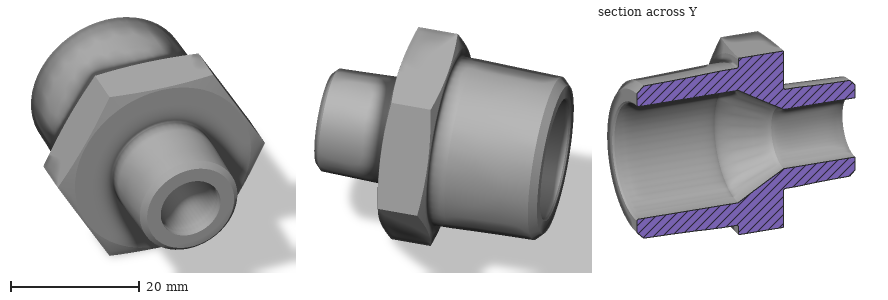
import cadquery as cq
import math

total_length = 37.0
hex_start = 17.2
hex_end = 24.95

across_flats = 30.0
hex_chamfer_diameter = 29.45
hex_chamfer_angle = math.radians(15)

taper_ratio = 1 / 16
large_diameter = 26.75
large_straight_length = 2.7
large_chamfer = 1.2
small_diameter = 16.9
small_straight_length = 2.0
small_chamfer = 0.9
root_fillet = 0.3

wide_bore_diameter = 19.0
narrow_bore_diameter = 10.0
bore_mouth_chamfer = 0.25


def revolve_about_x(profile):
    """Turn a closed (x, radius) profile into a solid of revolution about X."""
    return profile.close().revolve(360, (0, 0, 0), (1, 0, 0))


def make_hexagon():
    """Hexagon with corners on +Y and -Y, its corners coned off on both faces."""
    corner_diameter = across_flats / math.cos(math.pi / 6)
    face_radius = hex_chamfer_diameter / 2
    corner_radius = corner_diameter / 2
    corner_drop = (corner_radius - face_radius) * math.tan(hex_chamfer_angle)
    prism = (
        cq.Workplane("YZ", origin=(hex_start, 0, 0))
        .polygon(6, corner_diameter)
        .extrude(hex_end - hex_start)
    )
    cone_envelope = revolve_about_x(
        cq.Workplane("XY")
        .moveTo(hex_start, 0)
        .lineTo(hex_start, face_radius)
        .lineTo(hex_start + corner_drop, corner_radius)
        .lineTo(hex_end - corner_drop, corner_radius)
        .lineTo(hex_end, face_radius)
        .lineTo(hex_end, 0)
    )
    return prism.intersect(cone_envelope)


def make_thread(hex_face, free_end, diameter, straight_length, chamfer):
    """Tapered thread blank from a hexagon face to a free end, with a filleted root."""
    outward = math.copysign(1, free_end - hex_face)
    radius = diameter / 2
    taper_start = hex_face + outward * straight_length
    chamfer_start = free_end - outward * chamfer
    tip_radius = radius - abs(chamfer_start - taper_start) * taper_ratio / 2
    arc_offset = root_fillet * (1 - math.sqrt(0.5))
    return revolve_about_x(
        cq.Workplane("XY")
        .moveTo(hex_face, 0)
        .lineTo(hex_face, radius + root_fillet)
        .threePointArc(
            (hex_face + outward * arc_offset, radius + arc_offset),
            (hex_face + outward * root_fillet, radius),
        )
        .lineTo(taper_start, radius)
        .lineTo(chamfer_start, tip_radius)
        .lineTo(free_end, tip_radius - chamfer)
        .lineTo(free_end, 0)
    )


def make_bore():
    """Stepped through bore with a chamfered mouth and a conical transition."""
    wide_radius = wide_bore_diameter / 2
    narrow_radius = narrow_bore_diameter / 2
    return revolve_about_x(
        cq.Workplane("XY")
        .moveTo(0, 0)
        .lineTo(0, wide_radius + bore_mouth_chamfer)
        .lineTo(bore_mouth_chamfer, wide_radius)
        .lineTo(hex_start, wide_radius)
        .lineTo(hex_end, narrow_radius)
        .lineTo(total_length, narrow_radius)
        .lineTo(total_length, 0)
    )


large_thread = make_thread(hex_start, 0, large_diameter, large_straight_length, large_chamfer)
small_thread = make_thread(hex_end, total_length, small_diameter, small_straight_length, small_chamfer)

result = make_hexagon().union(large_thread).union(small_thread).cut(make_bore())